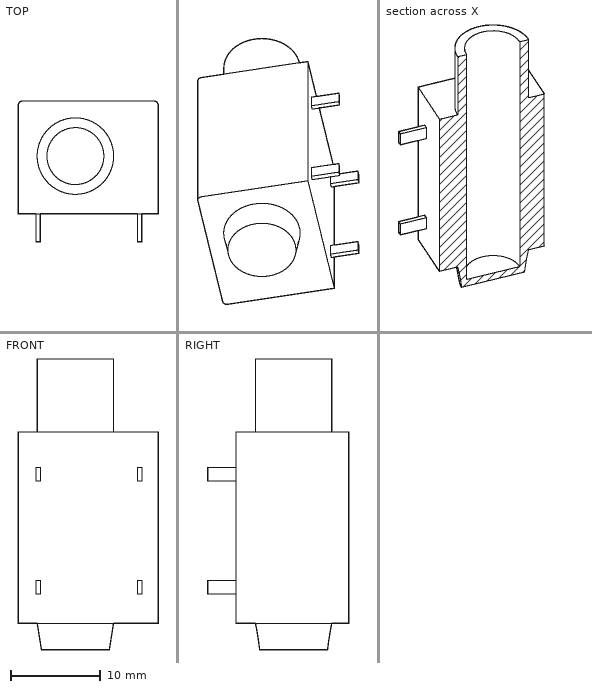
import cadquery as cq

HOUSING_WIDTH = 15.75
HOUSING_DEPTH = 12.7
HOUSING_HEIGHT = 21.5
BACK_EDGE_RADIUS = 0.5

AXIS_X = 6.43
AXIS_Y = 6.5

SLEEVE_DIAMETER = 8.6
SLEEVE_LENGTH = 8.2

BOSS_LENGTH = 3.0
BOSS_BASE_DIAMETER = SLEEVE_DIAMETER
BOSS_TIP_DIAMETER = 7.65

BORE_DIAMETER = 6.4
BORE_FLOOR_THICKNESS = 1.0
BORE_DEPTH = SLEEVE_LENGTH + HOUSING_HEIGHT + BOSS_LENGTH - BORE_FLOOR_THICKNESS

PIN_THICKNESS = 0.5
PIN_WIDTH = 1.55
PIN_LENGTH = 3.15
PIN_FIRST_X = 2.25
PIN_PITCH_X = 11.4
PIN_FIRST_Z = 4.05
PIN_PITCH_Z = 12.7
PIN_COLUMNS = 2
PIN_ROWS = 2


def make_housing():
    """Box with its left, front, bottom corner at the origin and rounded back edges."""
    box = cq.Workplane("XY").box(HOUSING_WIDTH, HOUSING_DEPTH, HOUSING_HEIGHT, centered=False)
    return box.edges("|Z and >Y").fillet(BACK_EDGE_RADIUS)


def make_axis_plane(z):
    """Horizontal workplane centred on the jack axis at height z."""
    return cq.Workplane("XY", origin=(AXIS_X, AXIS_Y, z))


def make_sleeve():
    return make_axis_plane(HOUSING_HEIGHT).circle(SLEEVE_DIAMETER / 2).extrude(SLEEVE_LENGTH)


def make_bore():
    sleeve_top = HOUSING_HEIGHT + SLEEVE_LENGTH
    return make_axis_plane(sleeve_top).circle(BORE_DIAMETER / 2).extrude(-BORE_DEPTH)


def make_boss():
    """Cone frustum narrowing downwards from the bottom face."""
    cone = cq.Solid.makeCone(
        BOSS_BASE_DIAMETER / 2,
        BOSS_TIP_DIAMETER / 2,
        BOSS_LENGTH,
        pnt=cq.Vector(AXIS_X, AXIS_Y, 0),
        dir=cq.Vector(0, 0, -1),
    )
    return cq.Workplane(obj=cone)


def make_pin(x, z):
    """Flat pin projecting from the front face, centred at (x, z)."""
    pin = cq.Workplane("XY").box(PIN_THICKNESS, PIN_LENGTH, PIN_WIDTH)
    return pin.translate((x, -PIN_LENGTH / 2, z))


result = make_housing().union(make_sleeve()).union(make_boss()).cut(make_bore())

for column in range(PIN_COLUMNS):
    for row in range(PIN_ROWS):
        pin_x = PIN_FIRST_X + column * PIN_PITCH_X
        pin_z = PIN_FIRST_Z + row * PIN_PITCH_Z
        result = result.union(make_pin(pin_x, pin_z))